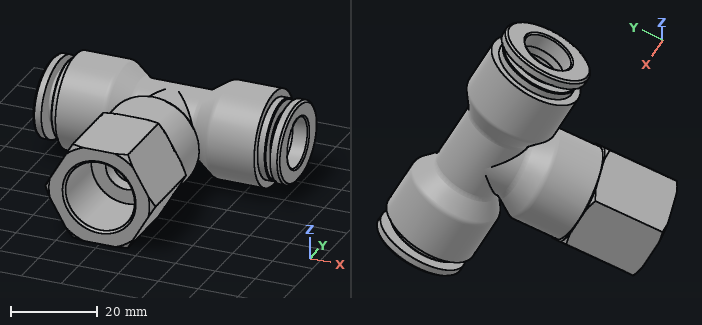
import cadquery as cq
import math

overall_length = 61.8
overall_depth = 55.75

barrel_diameter = 23.5
neck_diameter = 16.7
neck_length = 8.05
cone_end = 13.0
barrel_end = 24.9
shoulder_radius = 2.0
socket_depth = barrel_end - cone_end

tube_bore_diameter = 12.2
collar_diameter = 19.6
collar_length = 2.0
collar_chamfer = 0.25
ring_neck_diameter = 14.2
flange_width = 22.45
flange_height = 19.6
flange_thickness = 2.2
flange_chamfer = 0.5
ring_bore_chamfer = 0.4
ring_neck_fillet = 0.2
collar_end = barrel_end + collar_length
ring_end = overall_length / 2

hex_sides = 6
hex_across_flats = 24.0
hex_front = overall_depth - barrel_diameter / 2
hex_length = hex_front - barrel_end
hex_end_diameter = 25.2
hex_chamfer_angle = 30.0
thread_bore_diameter = 17.3
thread_bore_depth = 15.45
thread_bore_chamfer = 0.55
passage_diameter = 10.0

RUN_AXES = [cq.Vector(-1, 0, 0), cq.Vector(1, 0, 0)]
BRANCH_AXIS = cq.Vector(0, -1, 0)


def plane_on_axis(axis, distance):
    """Plane across an arm, facing outward; its local Y is the global Z."""
    x_direction = cq.Vector(0, 0, 1).cross(axis)
    return cq.Plane(origin=axis.multiply(distance), xDir=x_direction, normal=axis)


def disc(axis, start, diameter, length):
    """Cylinder on an arm axis, starting at a distance from the tee centre."""
    return cq.Workplane(plane_on_axis(axis, start)).circle(diameter / 2).extrude(length)


def bore_chamfer(axis, face, diameter, size):
    """45 degree cone that chamfers the mouth of a bore at an end face."""
    mouth = cq.Solid.makeCone(diameter / 2, diameter / 2 + size, size, axis * (face - size), axis)
    return cq.Workplane(mouth)


def arm_solid(axis):
    """Outside of one arm: neck, rounded cone and barrel, revolved about its axis."""
    neck_radius = neck_diameter / 2
    barrel_radius = barrel_diameter / 2

    cone_angle = math.atan2(barrel_radius - neck_radius, cone_end - neck_length)
    tangent = shoulder_radius * math.tan(cone_angle / 2)
    along_cone = tangent * math.cos(cone_angle)
    across_cone = tangent * math.sin(cone_angle)

    profile_plane = cq.Plane(origin=(0, 0, 0), xDir=axis, normal=axis.cross(cq.Vector(0, 0, 1)))
    return (
        cq.Workplane(profile_plane)
        .lineTo(0, neck_radius)
        .lineTo(neck_length - tangent, neck_radius)
        .tangentArcPoint((neck_length + along_cone, neck_radius + across_cone), relative=False)
        .lineTo(cone_end - along_cone, barrel_radius - across_cone)
        .tangentArcPoint((cone_end + tangent, barrel_radius), relative=False)
        .lineTo(barrel_end, barrel_radius)
        .lineTo(barrel_end, 0)
        .close()
        .revolve(360, (0, 0, 0), (1, 0, 0))
    )


def make_tee_body():
    """Three equal arms joined at the centre, with a blind tube socket in each run arm."""
    tee = arm_solid(RUN_AXES[0])
    for axis in [RUN_AXES[1], BRANCH_AXIS]:
        tee = tee.union(arm_solid(axis))
    for axis in RUN_AXES:
        tee = tee.cut(disc(axis, cone_end, tube_bore_diameter, socket_depth))
    return tee


def make_collar(axis):
    """Ring against the end face of a run arm, chamfered on its outer edge."""
    collar = (
        disc(axis, barrel_end, collar_diameter, collar_length)
        .faces(cq.selectors.DirectionMinMaxSelector(axis))
        .chamfer(collar_chamfer)
    )
    return collar.cut(disc(axis, barrel_end, tube_bore_diameter, collar_length))


def make_release_ring(axis):
    """Oval flange on a round neck, with a chamfered tube bore; the neck root is rounded."""
    flange_start = ring_end - flange_thickness
    ring_length = ring_end - collar_end
    flange = (
        cq.Workplane(plane_on_axis(axis, flange_start))
        .ellipse(flange_width / 2, flange_height / 2)
        .extrude(flange_thickness)
        .faces(cq.selectors.DirectionMinMaxSelector(axis))
        .chamfer(flange_chamfer)
    )
    neck = disc(axis, collar_end, ring_neck_diameter, ring_length)
    bore = disc(axis, collar_end, tube_bore_diameter, ring_length)
    ring = flange.union(neck)
    neck_root = ring.edges("%CIRCLE").edges(cq.selectors.DirectionMinMaxSelector(axis))
    ring = neck_root.fillet(ring_neck_fillet).cut(bore)
    return ring.cut(bore_chamfer(axis, ring_end, tube_bore_diameter, ring_bore_chamfer))


def make_hex_socket():
    """Hexagon against the branch, with trimmed corners and a stepped bore."""
    across_corners = hex_across_flats / math.cos(math.pi / hex_sides)
    hexagon = (
        cq.Workplane(plane_on_axis(BRANCH_AXIS, barrel_end))
        .polygon(hex_sides, across_corners)
        .extrude(hex_length)
    )

    corner_radius = across_corners / 2
    end_radius = hex_end_diameter / 2
    trim = (corner_radius - end_radius) * math.tan(math.radians(hex_chamfer_angle))
    envelope = (
        disc(BRANCH_AXIS, barrel_end, across_corners, hex_length)
        .faces("<Y or >Y")
        .chamfer(trim, corner_radius - end_radius)
    )

    passage = disc(BRANCH_AXIS, barrel_end, passage_diameter, hex_length)
    bore = disc(BRANCH_AXIS, hex_front - thread_bore_depth, thread_bore_diameter, thread_bore_depth)
    entry = bore_chamfer(BRANCH_AXIS, hex_front, thread_bore_diameter, thread_bore_chamfer)
    return hexagon.intersect(envelope).cut(passage).cut(bore).cut(entry)


tee_body = make_tee_body()
hex_socket = make_hex_socket()
collars = [make_collar(axis).val() for axis in RUN_AXES]
release_rings = [make_release_ring(axis).val() for axis in RUN_AXES]

result = cq.Compound.makeCompound([tee_body.val(), hex_socket.val(), *collars, *release_rings])